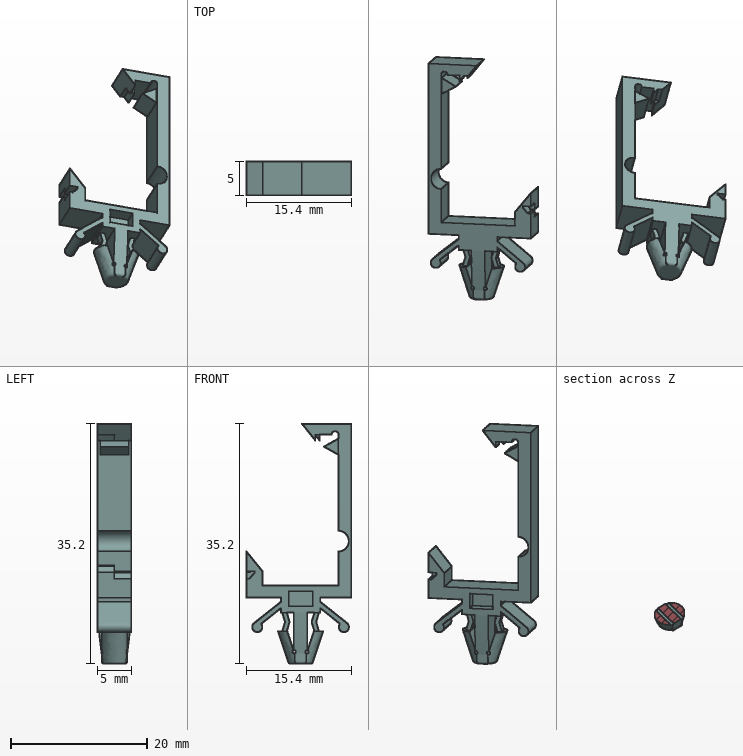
import cadquery as cq
import math


width = 5.0
half_width = width / 2
left = -7.95
right = 7.45
top = 25.5
base_thickness = 1.8
wall_thickness = 1.9
wall_inner = right - wall_thickness

lip_thickness = 1.6
lip_bottom = top - lip_thickness
lip_tip_x = 0.2
lip_slope = 0.8
tooth_height = 0.85
tooth_back_near = lip_tip_x + lip_slope * (lip_thickness + tooth_height)
tooth_shift = 0.62
tooth_back_far = tooth_back_near + tooth_shift
relief_radius = 0.5

post_thickness = 2.4
post_inner = left + post_thickness
post_shoulder = 3.85
post_tip = 6.8
notch_depth = 1.2
notch_floor_depth = 0.45
notch_height = 1.05
notch_lip = 0.2
notch_shift = 0.95
notch_top_near = post_shoulder
notch_top_far = notch_top_near + notch_shift

groove_radius = 1.5
groove_z = 8.3
wedge_z = 22.15
wedge_height = 2.4
wedge_length = 2.15
wedge_width = 4.2

block_width = 5.8
block_bottom = -2.2
pocket_width = 3.5
pocket_bottom = -1.25
pocket_height = 2.2
pocket_depth = 2.0

bead_radius = 0.75
bead_x = 6.35
bead_z = -4.3
arm_angle = math.radians(38.5)

overall_height = 35.2
rivet_bottom = top - overall_height
stem_half = 1.01
stem_root_y = 2.5
stem_middle_y = 2.25
tip_half_y = 1.88
tip_half_x = 0.85
tip_top = -8.2
tip_fillet = 0.4
barb_top = -4.9
barb_inner_top = 1.95
barb_bulge = 1.38
barb_slope = 0.335
leg_thickness = 0.7
leg_end_inner = 2.0
leg_bend_inner = 1.6
leg_half_width = 0.75
slot_end_radius = 0.23
slot_end_x = 0.94
slot_end_z = -7.93


def extrude_xz(sketch, y_start, y_end):
    """Extrude a closed outline in the XZ plane from y_start to y_end."""
    return sketch.extrude(y_start - y_end).translate((0, y_start, 0))


def prism(points, y_start, y_end):
    return extrude_xz(cq.Workplane("XZ").polyline(points).close(), y_start, y_end)


def cylinder(x, z, radius, half_length):
    return extrude_xz(cq.Workplane("XZ").center(x, z).circle(radius), -half_length, half_length)


def frame():
    outline = [
        (left, 0),
        (right, 0),
        (right, top),
        (lip_tip_x, top),
        (lip_tip_x + lip_slope * lip_thickness, lip_bottom),
        (wall_inner, lip_bottom),
        (wall_inner, base_thickness),
        (post_inner, base_thickness),
        (post_inner, post_shoulder),
        (left, post_tip),
    ]
    body = prism(outline, -half_width, half_width)
    body = body.cut(cylinder(wall_inner - relief_radius, lip_bottom, relief_radius, half_width))
    return body.cut(cylinder(wall_inner, groove_z, groove_radius, half_width))


def tooth(back_x, y_start, y_end):
    points = [
        (back_x, lip_bottom - tooth_height),
        (back_x, lip_bottom),
        (back_x - lip_slope * tooth_height, lip_bottom),
    ]
    return prism(points, y_start, y_end)


def notch(top_z, y_start, y_end):
    bottom_z = top_z - notch_height
    points = [
        (left, top_z),
        (left + notch_depth, top_z),
        (left + notch_depth, top_z - notch_lip),
        (left + notch_floor_depth, bottom_z),
        (left, bottom_z),
    ]
    return prism(points, y_start, y_end)


def wedge():
    points = [
        (wall_inner, wedge_z - wedge_height / 2),
        (wall_inner, wedge_z + wedge_height / 2),
        (wall_inner - wedge_length, wedge_z),
    ]
    return prism(points, -wedge_width / 2, wedge_width / 2)


def block():
    half = block_width / 2
    points = [(-half, 0), (half, 0), (half, block_bottom), (-half, block_bottom)]
    return prism(points, -half_width, half_width)


def pocket():
    pocket_top = pocket_bottom + pocket_height
    half = pocket_width / 2
    points = [(-half, pocket_bottom), (half, pocket_bottom), (half, pocket_top), (-half, pocket_top)]
    return prism(points, -half_width, pocket_depth - half_width)


def spring_arm():
    """Right-hand arm; its lower face runs through the bead axis, its upper face is tangent to the bead."""
    root_x = block_width / 4
    run = bead_x - root_x
    rise = run * math.tan(arm_angle)
    offset_x = bead_radius * math.sin(arm_angle)
    offset_z = bead_radius * math.cos(arm_angle)
    points = [
        (bead_x, bead_z),
        (bead_x + offset_x, bead_z + offset_z),
        (bead_x + offset_x - run, bead_z + offset_z + rise),
        (bead_x - run, bead_z + rise),
    ]
    arm = prism(points, -half_width, half_width)
    trim = cq.Workplane("XY").box(block_width, width, 2 * top)
    bead = cylinder(bead_x, bead_z, bead_radius, half_width)
    return arm.cut(trim).union(bead)


def stem():
    """Central blade, flat across X and narrowing downwards in Y along a shallow arc."""
    middle_z = (block_bottom + tip_top) / 2
    return (
        cq.Workplane("YZ")
        .moveTo(-stem_root_y, block_bottom)
        .lineTo(stem_root_y, block_bottom)
        .threePointArc((stem_middle_y, middle_z), (tip_half_y, tip_top))
        .lineTo(-tip_half_y, tip_top)
        .threePointArc((-stem_middle_y, middle_z), (-stem_root_y, block_bottom))
        .close()
        .extrude(stem_half, both=True)
    )


def barb():
    """Right-hand barb: an arc segment swept inwards as it drops to the rivet bottom."""
    drop = barb_top - rivet_bottom
    inner_bottom = barb_inner_top - barb_slope * drop

    def segment(plane, inner):
        return (
            plane.moveTo(inner, -tip_half_y)
            .threePointArc((inner + barb_bulge, 0), (inner, tip_half_y))
            .close()
        )

    upper = segment(cq.Workplane("XY").workplane(offset=barb_top), barb_inner_top)
    return segment(upper.workplane(offset=-drop), inner_bottom).loft(ruled=True)


def leg():
    """Right-hand bent leg from the block down to the barb."""
    bend_z = (block_bottom + barb_top) / 2
    points = [
        (leg_end_inner, block_bottom),
        (leg_end_inner + leg_thickness, block_bottom),
        (leg_bend_inner + leg_thickness, bend_z),
        (leg_end_inner + leg_thickness, barb_top),
        (leg_end_inner, barb_top),
        (leg_bend_inner, bend_z),
    ]
    return prism(points, -leg_half_width, leg_half_width)


def rivet():
    tip_height = tip_top - rivet_bottom
    tip = (
        cq.Workplane("XY", origin=(0, 0, rivet_bottom))
        .rect(2 * tip_half_x, 2 * tip_half_y)
        .extrude(tip_height)
    )
    body = tip.union(barb()).union(barb().mirror("YZ"))
    body = body.faces("<Z").edges().fillet(tip_fillet)
    body = body.union(stem())
    for side in (-1, 1):
        body = body.cut(cylinder(side * slot_end_x, slot_end_z, slot_end_radius, half_width))
    return body.union(leg()).union(leg().mirror("YZ"))


result = (
    frame()
    .union(tooth(tooth_back_near, -half_width, 0))
    .union(tooth(tooth_back_far, 0, half_width))
    .cut(notch(notch_top_near, -half_width, 0))
    .cut(notch(notch_top_far, 0, half_width))
    .union(wedge())
    .union(block())
    .cut(pocket())
    .union(spring_arm())
    .union(spring_arm().mirror("YZ"))
    .union(rivet())
)